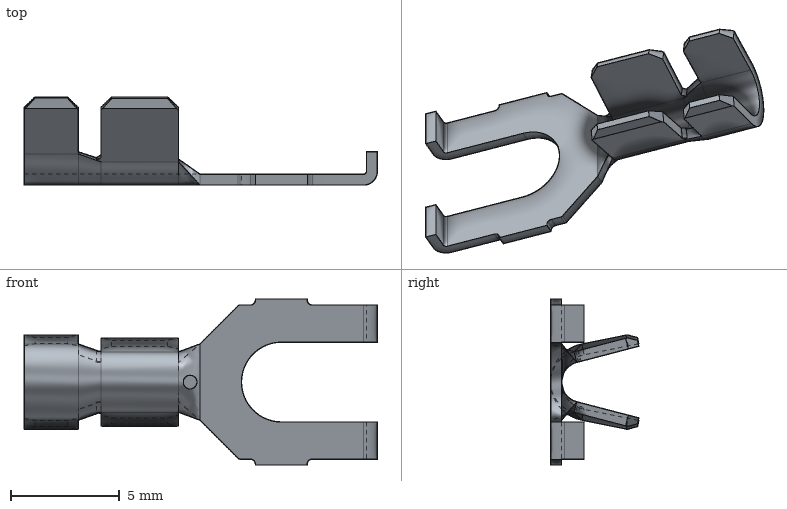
import cadquery as cq
import math


thickness = 0.508
total_length = 16.26
barrel_height = 4.06

insulation_end = 2.50
conductor_start = 3.53
conductor_end = 7.11
plate_start = 8.10

insulation_radius = 1.79
insulation_lean = math.radians(11.4)
conductor_radius = 1.44
conductor_lean = math.radians(14.6)

gusset_length = 0.22
gusset_height = 0.20
gusset_tip_lift = 0.06

tip_corner = 0.50
tip_bevel_start = 3.53
tip_bevel_depth = 0.22

neck_half_width = 1.76
fork_half_width = 3.55
shoulder_fillet = 0.127
slot_half_width = 1.83
slot_bottom = 10.01
pad_start = 10.64
pad_end = 13.03
pad_half_width = 3.825
pad_fillet = 0.23

tip_height = 1.54
bend_outer_radius = 0.64
bend_inner_radius = bend_outer_radius - thickness

spot_x = 7.64
spot_radius = 0.315


def arc_point(radius, outer_radius, angle):
    """Point (y, z) on a circle centred at y = outer_radius; angle 0 points to +Z, -90 deg to -Y."""
    return outer_radius + radius * math.sin(angle), radius * math.cos(angle)


def barrel_wire(x, outer_radius, lean):
    """Closed section of the curved barrel floor at station x."""
    inner_radius = outer_radius - thickness
    outer_y, outer_z = arc_point(outer_radius, outer_radius, -lean)
    inner_y, inner_z = arc_point(inner_radius, outer_radius, -lean)
    section = cq.Workplane("YZ", origin=(x, 0, 0)).moveTo(outer_y, outer_z)
    section = section.threePointArc((0, 0), (outer_y, -outer_z)).lineTo(inner_y, -inner_z)
    section = section.threePointArc((thickness, 0), (inner_y, inner_z)).close()
    return section.val()


def plate_wire(x):
    """Closed rectangular section of the neck at station x."""
    section = cq.Workplane("YZ", origin=(x, 0, 0)).moveTo(0, neck_half_width)
    section = section.lineTo(0, -neck_half_width).lineTo(thickness, -neck_half_width)
    section = section.lineTo(thickness, neck_half_width).close()
    return section.val()


def ruled_loft(first_wire, second_wire):
    return cq.Workplane(cq.Solid.makeLoft([first_wire, second_wire], True))


def wing_plane(x, outer_radius, lean):
    """Inner face of the +Z wing: origin at its root, local x along X, local y up the wing."""
    root_y, root_z = arc_point(outer_radius - thickness, outer_radius, -lean)
    return cq.Plane(
        origin=(x, root_y, root_z),
        xDir=(1, 0, 0),
        normal=(0, -math.sin(lean), math.cos(lean)),
    )


def wing(x_start, x_end, outer_radius, lean):
    """Wing on the +Z side, with cut corners and an outside bevel at its tip."""
    root_y, root_z = arc_point(outer_radius - thickness, outer_radius, -lean)
    length = (barrel_height - root_y) / math.cos(lean)
    width = x_end - x_start
    bevel_start = (tip_bevel_start - root_y + thickness * math.sin(lean)) / math.cos(lean)
    outline = [
        (0, 0),
        (width, 0),
        (width, length - tip_corner),
        (width - tip_corner, length),
        (tip_corner, length),
        (0, length - tip_corner),
    ]
    blank = cq.Workplane(wing_plane(x_start, outer_radius, lean)).polyline(outline).close().extrude(thickness)
    side_profile = [
        (0, 0),
        (length, 0),
        (length, thickness - tip_bevel_depth),
        (bevel_start, thickness),
        (0, thickness),
    ]
    end_face = cq.Plane(
        origin=(x_start, root_y, root_z),
        xDir=(0, math.cos(lean), math.sin(lean)),
        normal=(1, 0, 0),
    )
    envelope = cq.Workplane(end_face).polyline(side_profile).close().extrude(width)
    return blank.intersect(envelope)


def barrel(x_start, x_end, outer_radius, lean):
    """Curved floor with a pair of mirrored wings."""
    floor = ruled_loft(barrel_wire(x_start, outer_radius, lean), barrel_wire(x_end, outer_radius, lean))
    upper_wing = wing(x_start, x_end, outer_radius, lean)
    return floor.union(upper_wing).union(upper_wing.mirror("XY"))


def wing_gusset():
    """Small triangle filling the angle between the link and the +Z conductor wing."""
    return (
        cq.Workplane(wing_plane(conductor_start, conductor_radius, conductor_lean))
        .moveTo(0, 0)
        .lineTo(-gusset_length, gusset_tip_lift)
        .lineTo(0, gusset_height)
        .close()
        .extrude(thickness)
    )


def fork_outline():
    """Fork seen along Y, as a solid as deep as the upturned tips."""
    shoulder_x = plate_start + fork_half_width - neck_half_width
    slot_centre_x = slot_bottom + slot_half_width
    diagonal = slot_half_width * math.sqrt(0.5)
    half = (
        cq.Workplane("XZ")
        .moveTo(plate_start, 0)
        .lineTo(plate_start, neck_half_width)
        .lineTo(shoulder_x, fork_half_width)
        .lineTo(pad_start - pad_fillet, fork_half_width)
        .radiusArc((pad_start, fork_half_width + pad_fillet), -pad_fillet)
        .lineTo(pad_start, pad_half_width)
        .lineTo(pad_end, pad_half_width)
        .lineTo(pad_end, fork_half_width + pad_fillet)
        .radiusArc((pad_end + pad_fillet, fork_half_width), -pad_fillet)
        .lineTo(total_length, fork_half_width)
        .lineTo(total_length, slot_half_width)
        .lineTo(slot_centre_x, slot_half_width)
        .threePointArc((slot_centre_x - diagonal, diagonal), (slot_bottom, 0))
        .close()
        .extrude(-tip_height)
    )
    shoulder = cq.selectors.NearestToPointSelector((shoulder_x, tip_height / 2, fork_half_width))
    half = half.edges(shoulder).fillet(shoulder_fillet)
    return half.union(half.mirror("XY"))


def bent_sheet():
    """Side profile of the fork sheet, bent up at the tips, across the full width."""
    return (
        cq.Workplane("XY", origin=(0, 0, -pad_half_width))
        .moveTo(plate_start, 0)
        .lineTo(total_length - bend_outer_radius, 0)
        .radiusArc((total_length, bend_outer_radius), -bend_outer_radius)
        .lineTo(total_length, tip_height)
        .lineTo(total_length - thickness, tip_height)
        .lineTo(total_length - thickness, bend_outer_radius)
        .radiusArc((total_length - bend_outer_radius, thickness), bend_inner_radius)
        .lineTo(plate_start, thickness)
        .close()
        .extrude(2 * pad_half_width)
    )


insulation_barrel = barrel(0, insulation_end, insulation_radius, insulation_lean)
conductor_barrel = barrel(conductor_start, conductor_end, conductor_radius, conductor_lean)
barrel_link = ruled_loft(
    barrel_wire(insulation_end, insulation_radius, insulation_lean),
    barrel_wire(conductor_start, conductor_radius, conductor_lean),
)
neck = ruled_loft(
    barrel_wire(conductor_end, conductor_radius, conductor_lean),
    plate_wire(plate_start),
)
spot = cq.Workplane("XZ", origin=(spot_x, 0, 0)).circle(spot_radius).extrude(-thickness)
fork = fork_outline().intersect(bent_sheet())
gusset = wing_gusset()
gussets = gusset.union(gusset.mirror("XY"))

body = insulation_barrel.union(barrel_link).union(conductor_barrel).union(gussets)
result = body.union(neck).union(spot).union(fork)